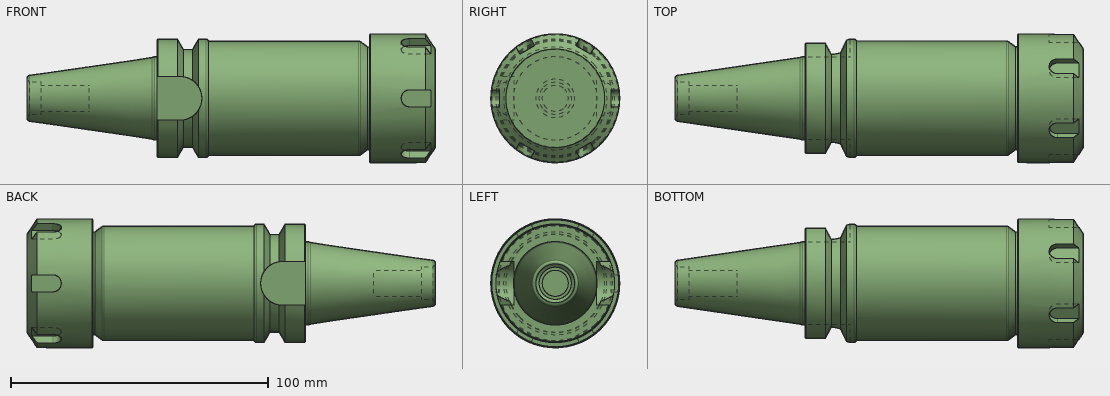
import cadquery as cq
import math

GAUGE_X = 48.4
FLANGE_GAP = 2.0
FLANGE_LENGTH = 20.0
NOSE_PROJECTION = 110.0
FLANGE_X = GAUGE_X + FLANGE_GAP
FLANGE_END_X = FLANGE_X + FLANGE_LENGTH
NOSE_X = GAUGE_X + NOSE_PROJECTION
NUT_X = 132.8

GAUGE_DIA = 31.75
TAPER_RATIO = 7 / 24
TIP_DIA = GAUGE_DIA - TAPER_RATIO * GAUGE_X
TIP_FILLET = 1.2
SHOULDER_DIA = 32.4
SHOULDER_CONE_LENGTH = 1.0

FLANGE_DIA = 46.0
FLANGE_CHAMFER = 0.4
GROOVE_FLOOR_DIA = 38.0
GROOVE_OFFSET = 12.0
GROOVE_CENTER_X = FLANGE_X + GROOVE_OFFSET
GROOVE_FLOOR_WIDTH = 3.6
GROOVE_WALL_ANGLE = 30.0
COLLAR_FILLET = 1.0

BODY_DIA = 44.45
NECK_DIA = 40.0
NECK_X = 132.0
NECK_CONE_LENGTH = 3.0
BODY_FILLET = 1.2

NUT_DIA = 50.04
NUT_REAR_CHAMFER = 0.4
NUT_FACE_DIA = 38.3
NUT_CONE_LENGTH = 3.9
NUT_SLOT_COUNT = 6
NUT_SLOT_WIDTH = 6.6
NUT_SLOT_X = 145.1
NUT_SLOT_FLOOR_RADIUS = 21.7

KEYWAY_WIDTH = 17.0
KEYWAY_END_X = 67.8
KEYWAY_FLOOR_RADIUS = 16.0

PILOT_DIA = 12.5
PILOT_DEPTH = 5.5
MOUTH_DIA = 15.0
MOUTH_DEPTH = 1.0
THREAD_DIA = 10.11
THREAD_DEPTH = 24.0


def cylinder(diameter, start_x, end_x):
    """Solid cylinder on the tool axis."""
    return cq.Workplane("YZ", origin=(start_x, 0, 0)).circle(diameter / 2).extrude(end_x - start_x)


def revolve(outline):
    """Solid of revolution about X from a closed outline in the upper half of the XY plane."""
    return cq.Workplane("XY").polyline(outline).close().revolve(360, (0, 0, 0), (1, 0, 0))


def cone(start_dia, end_dia, start_x, end_x):
    """Solid cone frustum on the tool axis."""
    outline = [(start_x, 0), (start_x, start_dia / 2), (end_x, end_dia / 2), (end_x, 0)]
    return revolve(outline)


def make_shank():
    """Tapered shank with a rounded tip and a short, slightly larger shoulder at the flange."""
    shoulder_x = GAUGE_X + SHOULDER_CONE_LENGTH
    taper = cone(TIP_DIA, GAUGE_DIA, 0, GAUGE_X).faces("<X").edges().fillet(TIP_FILLET)
    shoulder_cone = cone(GAUGE_DIA, SHOULDER_DIA, GAUGE_X, shoulder_x)
    return taper.union(shoulder_cone).union(cylinder(SHOULDER_DIA, shoulder_x, FLANGE_X))


def make_flange():
    """Flange with the V groove and a rounded collar edge facing the body."""
    wall_length = (FLANGE_DIA - GROOVE_FLOOR_DIA) / 2 * math.tan(math.radians(GROOVE_WALL_ANGLE))
    floor_start_x = GROOVE_CENTER_X - GROOVE_FLOOR_WIDTH / 2
    floor_end_x = GROOVE_CENTER_X + GROOVE_FLOOR_WIDTH / 2
    front = cylinder(FLANGE_DIA, FLANGE_X, floor_start_x - wall_length).faces("<X").chamfer(FLANGE_CHAMFER)
    front_wall = cone(FLANGE_DIA, GROOVE_FLOOR_DIA, floor_start_x - wall_length, floor_start_x)
    floor = cylinder(GROOVE_FLOOR_DIA, floor_start_x, floor_end_x)
    rear_wall = cone(GROOVE_FLOOR_DIA, FLANGE_DIA, floor_end_x, floor_end_x + wall_length)
    collar = cylinder(FLANGE_DIA, floor_end_x + wall_length, FLANGE_END_X)
    collar = collar.faces(">X").edges().fillet(COLLAR_FILLET)
    return front.union(front_wall).union(floor).union(rear_wall).union(collar)


def make_body():
    """Cylindrical body that cones down to the neck under the nut; it starts inside the collar."""
    start_x = FLANGE_END_X - COLLAR_FILLET
    cone_x = NECK_X - NECK_CONE_LENGTH
    outline = [
        (start_x, 0),
        (start_x, BODY_DIA / 2),
        (cone_x, BODY_DIA / 2),
        (NECK_X, NECK_DIA / 2),
        (NUT_X, NECK_DIA / 2),
        (NUT_X, 0),
    ]
    nearest_to_shoulder = cq.selectors.NearestToPointSelector((cone_x, 0, 0))
    return revolve(outline).edges("%CIRCLE").edges(nearest_to_shoulder).fillet(BODY_FILLET)


def round_ended_cut(round_end_x, square_end_x, width, floor_radius):
    """Cutter on the +Y side with a flat floor, one semicircular end and one square end."""
    radius = width / 2
    arc_center_x = round_end_x + math.copysign(radius, square_end_x - round_end_x)
    return (
        cq.Workplane("XZ", origin=(0, floor_radius, 0))
        .moveTo(square_end_x, -radius)
        .lineTo(arc_center_x, -radius)
        .threePointArc((round_end_x, 0), (arc_center_x, radius))
        .lineTo(square_end_x, radius)
        .close()
        .extrude(-NUT_DIA / 2)
    )


def make_nut():
    """Clamping nut with a coned face and wrench slots round its rim."""
    cone_x = NOSE_X - NUT_CONE_LENGTH
    rim = cylinder(NUT_DIA, NUT_X, cone_x).faces("<X").chamfer(NUT_REAR_CHAMFER)
    nut = rim.union(cone(NUT_DIA, NUT_FACE_DIA, cone_x, NOSE_X))
    slot = round_ended_cut(NUT_SLOT_X, NOSE_X, NUT_SLOT_WIDTH, NUT_SLOT_FLOOR_RADIUS)
    for index in range(NUT_SLOT_COUNT):
        nut = nut.cut(slot.rotate((0, 0, 0), (1, 0, 0), index * 360 / NUT_SLOT_COUNT))
    return nut


def cut_keyways(holder):
    """Two opposite drive keyways through the front of the flange."""
    keyway = round_ended_cut(KEYWAY_END_X, FLANGE_X, KEYWAY_WIDTH, KEYWAY_FLOOR_RADIUS)
    return holder.cut(keyway).cut(keyway.mirror("XZ"))


def cut_bore(holder):
    """Stepped blind bore in the small end for the pull stud."""
    mouth = cone(MOUTH_DIA, PILOT_DIA, 0, MOUTH_DEPTH)
    pilot = cylinder(PILOT_DIA, 0, PILOT_DEPTH)
    thread = cylinder(THREAD_DIA, 0, THREAD_DEPTH)
    return holder.cut(mouth).cut(pilot).cut(thread)


holder = make_shank().union(make_flange()).union(make_body())
holder = cut_keyways(holder)
holder = cut_bore(holder)
result = holder.union(make_nut())